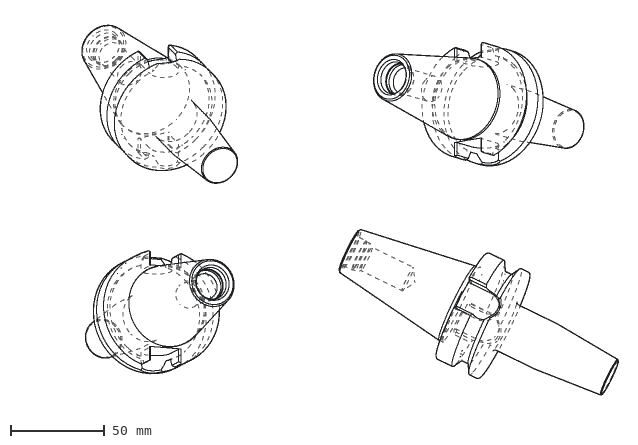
import cadquery as cq
import math

gauge_radius = 22.225
taper_slope = 7 / 48
shank_length = 65.4
taper_end_x = -1.0
shank_tip_chamfer = 0.8
relief_start_x = -0.5
relief_radius = 21.95
relief_fillet = 0.8

flange_radius = 31.5
flange_start_x = 1.6
flange_end_x = 27.0
flange_front_edge_fillet = 1.4
flange_back_edge_fillet = 1.0

groove_center_x = 16.6
groove_width = 10.0
groove_depth = 5.0
groove_flank_angle = 30.0
groove_fillet = 1.3

nose_end_x = 90.0
nose_radius = 13.5
nose_tip_radius = 10.5
nose_taper_angle = 4.5
nose_tip_chamfer = 0.5
nose_root_fillet = 2.0

slot_half_width = 8.05
slot_floor_z = 22.2
slot_end_x = 23.1
slot_outer_chamfer_width = 1.4
slot_outer_chamfer_drop = 1.0
slot_front_chamfer = 1.0
slot_end_chamfer = 1.0

tolerance = 0.02

bore_mouth_radius = 9.6
bore_cone_angle = 30.0
pilot_radius = 8.6
pilot_end_depth = 6.0
guide_radius = 8.3
guide_end_depth = 8.5
thread_radius = 8.0
thread_core_radius = 6.9
core_depth = 35.0
drill_tip_angle = 118.0


def make_body():
    """Turned outline of shank, flange and nose, revolved about X."""
    shank_start_x = -shank_length
    shank_tip_radius = gauge_radius - shank_length * taper_slope
    chamfer_top_radius = shank_tip_radius + shank_tip_chamfer * taper_slope
    taper_end_radius = gauge_radius + taper_end_x * taper_slope

    groove_floor_radius = flange_radius - groove_depth
    groove_half_top = groove_width / 2
    groove_half_floor = groove_half_top - groove_depth * math.tan(math.radians(groove_flank_angle))

    flank = math.radians(groove_flank_angle)
    groove_fillet_tangent = groove_fillet * math.tan((math.pi / 2 - flank) / 2)
    groove_fillet_rise = groove_fillet_tangent * math.cos(flank)
    groove_corner_x = groove_center_x - groove_half_floor
    groove_fillet_flank_x = groove_corner_x - groove_fillet_tangent * math.sin(flank)
    groove_fillet_floor_x = groove_corner_x + groove_fillet_tangent

    nose_slope = math.tan(math.radians(nose_taper_angle))
    nose_taper_start_x = nose_end_x - (nose_radius - nose_tip_radius) / nose_slope
    nose_chamfer_start_radius = nose_tip_radius + nose_tip_chamfer * nose_slope

    front = flange_front_edge_fillet
    back = flange_back_edge_fillet
    outline = (
        cq.Workplane("XY")
        .moveTo(shank_start_x, 0)
        .lineTo(shank_start_x, shank_tip_radius - shank_tip_chamfer)
        .lineTo(shank_start_x + shank_tip_chamfer, chamfer_top_radius)
        .lineTo(taper_end_x, taper_end_radius)
        .lineTo(relief_start_x, relief_radius)
        .lineTo(flange_start_x - relief_fillet, relief_radius)
        .radiusArc((flange_start_x, relief_radius + relief_fillet), -relief_fillet)
        .lineTo(flange_start_x, flange_radius - front)
        .radiusArc((flange_start_x + front, flange_radius), front)
        .lineTo(groove_center_x - groove_half_top, flange_radius)
        .lineTo(groove_fillet_flank_x, groove_floor_radius + groove_fillet_rise)
        .radiusArc((groove_fillet_floor_x, groove_floor_radius), -groove_fillet)
        .lineTo(groove_center_x + groove_half_floor, groove_floor_radius)
        .lineTo(groove_center_x + groove_half_top, flange_radius)
        .lineTo(flange_end_x - back, flange_radius)
        .radiusArc((flange_end_x, flange_radius - back), back)
        .lineTo(flange_end_x, nose_radius + nose_root_fillet)
        .radiusArc((flange_end_x + nose_root_fillet, nose_radius), -nose_root_fillet)
        .lineTo(nose_taper_start_x, nose_radius)
        .lineTo(nose_end_x - nose_tip_chamfer, nose_chamfer_start_radius)
        .lineTo(nose_end_x, nose_tip_radius - nose_tip_chamfer)
        .lineTo(nose_end_x, 0)
        .close()
    )
    return outline.revolve(360, (0, 0, 0), (1, 0, 0))


def make_bore():
    """Cutter for the stepped pull-stud bore with its conical drill tip."""
    start_x = -shank_length
    pilot_end_x = start_x + pilot_end_depth
    guide_end_x = start_x + guide_end_depth
    core_end_x = start_x + core_depth
    cone_slope = math.tan(math.radians(bore_cone_angle))
    mouth_cone_length = (bore_mouth_radius - pilot_radius) / cone_slope
    thread_cone_length = (thread_radius - thread_core_radius) / cone_slope
    tip_length = thread_core_radius / math.tan(math.radians(drill_tip_angle / 2))
    outline = (
        cq.Workplane("XY")
        .moveTo(start_x, 0)
        .lineTo(start_x, bore_mouth_radius)
        .lineTo(start_x + mouth_cone_length, pilot_radius)
        .lineTo(pilot_end_x, pilot_radius)
        .lineTo(pilot_end_x + pilot_radius - guide_radius, guide_radius)
        .lineTo(guide_end_x, guide_radius)
        .lineTo(guide_end_x + guide_radius - thread_radius, thread_radius)
        .lineTo(guide_end_x + thread_cone_length, thread_core_radius)
        .lineTo(core_end_x, thread_core_radius)
        .lineTo(core_end_x + tip_length, 0)
        .close()
    )
    return outline.revolve(360, (0, 0, 0), (1, 0, 0))


def make_drive_slot():
    """Cutter for the round-ended slot on the +Z side, open towards the shank."""
    slot_arc_x = slot_end_x - slot_half_width
    return (
        cq.Workplane("XY", origin=(0, 0, slot_floor_z))
        .moveTo(0, -slot_half_width)
        .lineTo(slot_arc_x, -slot_half_width)
        .threePointArc((slot_end_x, 0), (slot_arc_x, slot_half_width))
        .lineTo(0, slot_half_width)
        .close()
        .extrude(flange_radius)
    )


def make_outer_chamfer():
    """Cutter that bevels both outer slot edges in front of the V-groove."""
    rim_y = slot_half_width + slot_outer_chamfer_width
    rim_z = math.sqrt(flange_radius**2 - rim_y**2)
    wall_z = rim_z - slot_outer_chamfer_drop
    overrun = 2.0
    top_y = rim_y + overrun * slot_outer_chamfer_width
    top_z = rim_z + overrun * slot_outer_chamfer_drop
    return (
        cq.Workplane("YZ")
        .polyline([(-slot_half_width, wall_z), (slot_half_width, wall_z), (top_y, top_z), (-top_y, top_z)])
        .close()
        .extrude(groove_center_x - groove_width / 2 + slot_outer_chamfer_drop)
    )


def make_front_chamfer():
    """Cutter that bevels both upright slot edges on the front face of the flange."""
    face_y = slot_half_width + slot_front_chamfer
    chamfer_end_x = flange_start_x + slot_front_chamfer
    return (
        cq.Workplane("XY", origin=(0, 0, slot_floor_z))
        .moveTo(flange_start_x, -face_y)
        .lineTo(chamfer_end_x, -slot_half_width)
        .lineTo(chamfer_end_x, slot_half_width)
        .lineTo(flange_start_x, face_y)
        .close()
        .extrude(flange_radius)
    )


def on_round_end_rim(edge):
    """True for the edge where the round end of a slot leaves the outer surface of the flange."""
    behind_groove = edge.Center().x > groove_center_x + groove_width / 2
    inside_flange = edge.BoundingBox().xmax < flange_end_x - flange_back_edge_fillet
    centered = abs(edge.Center().y) < tolerance
    above_floor = abs(edge.Center().z) > slot_floor_z + tolerance
    return behind_groove and inside_flange and centered and above_floor


def cut_on_both_sides(body, cutter):
    """Cut the +Z side and, half a turn about X away, the -Z side."""
    return body.cut(cutter).cut(cutter.rotate((0, 0, 0), (1, 0, 0), 180))


def cut_drive_slots(body):
    """Cut the two opposite slots and bevel their rims."""
    slotted = cut_on_both_sides(body, make_drive_slot()).val()
    end_rims = [edge for edge in slotted.Edges() if on_round_end_rim(edge)]
    body = cq.Workplane(slotted.chamfer(slot_end_chamfer, None, end_rims))
    body = cut_on_both_sides(body, make_outer_chamfer())
    return cut_on_both_sides(body, make_front_chamfer())


result = cut_drive_slots(make_body().cut(make_bore()))